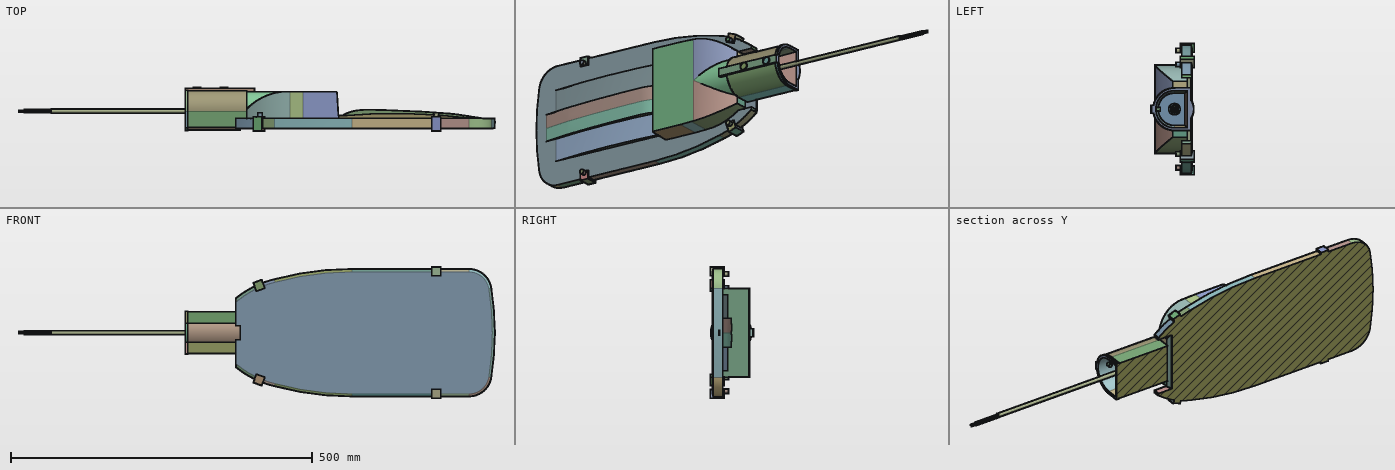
import cadquery as cq
import math


FRAME_X0 = 84.0
FRAME_X1 = 514.0
FRAME_FRONT_Y = -29.0
FRAME_BACK_Y = -12.0
FRAME_HALF = 106.0
FRAME_ROOT_HALF = 57.0
SHOULDER_RADIUS = 158
FLANK_RADIUS = 490.5
FLANK_X0 = 148.0
FLANK_X1 = 277
NOSE_RADIUS = 474.5
NOSE_CORNER = 38.0
RIM_INSET = 5.0
RIM_DEPTH = 1.2
ROOT_POCKET_HALF = 52.0
ROOT_POCKET_DEPTH = 27.0
ROOT_FLOOR = 2.0
NUB_REACH = 1.0
NUB_Y = -18.0
NUB_HEIGHT = 1.5
NUB_WIDTH = 8.0

SOCKET_RADIUS = 35.0
SOCKET_FRONT_Y = -27.0
BULGE_RADIUS = 28.5
BULGE_FRONT_Y = -32.0
BULGE_LENGTH = 92.0
COLLAR_LENGTH = 5.0
COLLAR_LIP = 1.0
BORE_WALL = 4.0
BORE_FRONT_WALL = 5.5
BORE_DEPTH = 91.0
BORE_TAPER = 2.5
RIDGE_BACK_Y = 38.0
RIDGE_WIDTH = 13.5
RIDGE_LENGTH = 115.5
SCREW_BACK_Y = 39.5
SCREW_HEAD_RADIUS = 6.0
SCREW_SHANK_RADIUS = 3.0
SCREW_TIP_Y = 24
SCREW_XS = (20.0, 65.0)
GLAND_RADIUS = 9.5
GLAND_BORE_RADIUS = 6.0
GLAND_LENGTH = 6.0

BOX_X0 = 102.0
BOX_X1 = 255.5
BOX_BACK_X1 = 252.0
BOX_FRONT_Y = -21.0
BOX_BACK_Y = 32.5
BOX_EDGE_CHAMFER = 1.5
BOX_ROOT_HALF = 47.0
BOX_BEND_X = 174
BOX_BEND_HALF = 73.0
BOX_BEND_RADIUS = 111
BOX_SIDE_X = 195.0
BOX_HALF = 73.5
DOME_X = 170.0
DOME_FRONT_Y = 3.0
NECK_RADIUS = 32.5

HUMP_X0 = 249.0
HUMP_FRONT_Y = -20.0
SPINE_HALF = 24
SPINE_TOE_X = 261
SPINE_TOE_Y = -7.0
SPINE_CREST = [(278.5, 0), (312.5, 2.0), (380, 0), (439.0, -4.0)]
SPINE_X1 = 494.0
SHOULDER_HALF = 63
SHOULDER_TOE_Y = -9.0
SHOULDER_PEAK = (340, -4.0)
SHOULDER_X1 = 474.5

CLIP_WIDTH = 15.0
CLIP_LENGTH = 15.0
CLIP_FRONT_Y = -33.0
CLIP_BACK_Y = -9.5
CLIP_SCREW_RADIUS = 4.0
CLIP_SCREW_BACK_Y = -2.0
CLIP_SCREW_INSET = 12.0
SIDE_CLIP_X = 417.0
SIDE_CLIP_EDGE = 109.0
SHOULDER_CLIP_X = 120.0
SHOULDER_CLIP_EDGE = 85.5
SHOULDER_CLIP_TILT = 20

SHEATH_RADIUS = 3.55
SHEATH_X0 = -222.0
SHEATH_X1 = 99.0
CORE_COUNT = 3
CORE_RADIUS = 1.5
BUNDLE_Y = -0.55
CORE_X0 = -266.5
WIRE_RADIUS = 0.55
WIRE_X0 = -276.0


def extrude_y(outline, y0, y1):
    """Extrude an (x, z) outline drawn on the XZ plane from y0 up to y1."""
    return outline.extrude(y1 - y0).translate((0, y1, 0))


def box(x0, x1, y0, y1, z0, z1):
    return cq.Workplane("XY").box(x1 - x0, y1 - y0, z1 - z0, centered=False).translate((x0, y0, z0))


def rod_x(radius, x0, x1, y=0, z=0):
    return cq.Workplane("YZ", origin=(x0, 0, 0)).center(y, z).circle(radius).extrude(x1 - x0)


def rod_y(radius, y0, y1, x, z):
    return cq.Workplane("XZ", origin=(x, y1, z)).circle(radius).extrude(y1 - y0)


def frame_outline():
    """Symmetric outline in (x, z), with a root tab that is trimmed off at FRAME_X0."""
    flank_angle = math.asin((FLANK_X1 - FLANK_X0) / FLANK_RADIUS)
    flank_z0 = FRAME_HALF - FLANK_RADIUS * (1 - math.cos(flank_angle))
    tab_x = FRAME_X0 - 2 * RIM_INSET

    nose_center_x = FRAME_X1 - NOSE_RADIUS
    corner_z = FRAME_HALF - NOSE_CORNER
    corner_distance = NOSE_RADIUS - NOSE_CORNER
    corner_angle = math.asin(corner_z / corner_distance)
    corner_x = nose_center_x + corner_distance * math.cos(corner_angle)
    nose_x = nose_center_x + NOSE_RADIUS * math.cos(corner_angle)
    nose_z = NOSE_RADIUS * math.sin(corner_angle)
    return (
        cq.Workplane("XZ")
        .moveTo(tab_x, -FRAME_ROOT_HALF)
        .lineTo(tab_x, FRAME_ROOT_HALF)
        .lineTo(FRAME_X0, FRAME_ROOT_HALF)
        .radiusArc((FLANK_X0, flank_z0), SHOULDER_RADIUS)
        .radiusArc((FLANK_X1, FRAME_HALF), FLANK_RADIUS)
        .lineTo(corner_x, FRAME_HALF)
        .radiusArc((nose_x, nose_z), NOSE_CORNER)
        .threePointArc((FRAME_X1, 0), (nose_x, -nose_z))
        .radiusArc((corner_x, -FRAME_HALF), NOSE_CORNER)
        .lineTo(FLANK_X1, -FRAME_HALF)
        .radiusArc((FLANK_X0, -flank_z0), FLANK_RADIUS)
        .radiusArc((FRAME_X0, -FRAME_ROOT_HALF), SHOULDER_RADIUS)
        .lineTo(tab_x, -FRAME_ROOT_HALF)
        .close()
    )


def frame():
    """Lens frame: curved outline, bevelled front rim and an open pocket at the socket end."""
    rim_y = FRAME_FRONT_Y + RIM_DEPTH
    rim_taper = math.degrees(math.atan2(RIM_INSET, RIM_DEPTH))
    body = extrude_y(frame_outline(), rim_y, FRAME_BACK_Y)
    rim = frame_outline().extrude(RIM_DEPTH, taper=rim_taper).translate((0, rim_y, 0))
    root_tab = box(
        FRAME_X0 - 3 * RIM_INSET, FRAME_X0,
        FRAME_FRONT_Y, FRAME_BACK_Y,
        -FRAME_HALF, FRAME_HALF,
    )
    body = body.union(rim).cut(root_tab)
    root_pocket = box(
        FRAME_X0, FRAME_X0 + ROOT_POCKET_DEPTH,
        FRAME_FRONT_Y + ROOT_FLOOR, FRAME_BACK_Y,
        -ROOT_POCKET_HALF, ROOT_POCKET_HALF,
    )
    nub = box(
        FRAME_X1 - 8, FRAME_X1 + NUB_REACH,
        NUB_Y - NUB_HEIGHT / 2, NUB_Y + NUB_HEIGHT / 2,
        -NUB_WIDTH / 2, NUB_WIDTH / 2,
    )
    return body.cut(root_pocket).union(nub)


def d_section(radius, front_y, x0):
    """D-shaped section on a YZ plane: half circle behind the axis, flat in front."""
    return (
        cq.Workplane("YZ", origin=(x0, 0, 0))
        .moveTo(front_y, -radius)
        .lineTo(0, -radius)
        .threePointArc((radius, 0), (0, radius))
        .lineTo(front_y, radius)
        .close()
    )


def bulge(radius, length):
    """Round rib along the front of the socket."""
    return rod_x(radius, 0, length, BULGE_FRONT_Y + BULGE_RADIUS)


def socket():
    body = d_section(SOCKET_RADIUS, SOCKET_FRONT_Y, 0).extrude(BOX_X0)
    body = body.union(bulge(BULGE_RADIUS, BULGE_LENGTH))
    collar = d_section(SOCKET_RADIUS + COLLAR_LIP, SOCKET_FRONT_Y - COLLAR_LIP, 0).extrude(COLLAR_LENGTH)
    body = body.union(collar).union(bulge(BULGE_RADIUS + COLLAR_LIP, COLLAR_LENGTH))
    ridge = box(0, RIDGE_LENGTH, 0, RIDGE_BACK_Y, -RIDGE_WIDTH / 2, RIDGE_WIDTH / 2)
    return body.union(ridge)


def bore():
    return d_section(SOCKET_RADIUS - BORE_WALL, SOCKET_FRONT_Y + BORE_FRONT_WALL, 0).extrude(
        BORE_DEPTH, taper=BORE_TAPER
    )


def socket_screws():
    screws = cq.Workplane("XY")
    for x in SCREW_XS:
        screws = screws.union(rod_y(SCREW_HEAD_RADIUS, SOCKET_RADIUS - BORE_WALL, SCREW_BACK_Y, x, 0))
        screws = screws.union(rod_y(SCREW_SHANK_RADIUS, SCREW_TIP_Y, SCREW_BACK_Y, x, 0))
    return screws


def gland():
    ring = rod_x(GLAND_RADIUS, BORE_DEPTH - GLAND_LENGTH, BORE_DEPTH)
    return ring.faces("<X").chamfer(GLAND_RADIUS - GLAND_BORE_RADIUS)


def driver_box():
    """Box with a rounded plan, domed towards the socket, and the neck blending the socket into it."""
    plan = (
        cq.Workplane("XZ")
        .moveTo(BOX_X0, -BOX_ROOT_HALF)
        .lineTo(BOX_X0, BOX_ROOT_HALF)
        .radiusArc((BOX_BEND_X, BOX_BEND_HALF), BOX_BEND_RADIUS)
        .lineTo(BOX_SIDE_X, BOX_HALF)
        .lineTo(BOX_X1, BOX_HALF)
        .lineTo(BOX_X1, -BOX_HALF)
        .lineTo(BOX_SIDE_X, -BOX_HALF)
        .lineTo(BOX_BEND_X, -BOX_BEND_HALF)
        .radiusArc((BOX_X0, -BOX_ROOT_HALF), BOX_BEND_RADIUS)
        .close()
    )
    body = extrude_y(plan, BOX_FRONT_Y, BOX_BACK_Y)
    run = DOME_X - BOX_X0
    drop = BOX_BACK_Y - DOME_FRONT_Y
    dome_radius = (run**2 + drop**2) / (2 * drop)
    profile = (
        cq.Workplane("XY")
        .moveTo(BOX_X0, BOX_FRONT_Y)
        .lineTo(BOX_X0, DOME_FRONT_Y)
        .radiusArc((DOME_X, BOX_BACK_Y), dome_radius)
        .lineTo(BOX_BACK_X1, BOX_BACK_Y)
        .lineTo(BOX_X1, BOX_FRONT_Y)
        .close()
        .extrude(BOX_HALF, both=True)
    )
    body = body.intersect(profile).faces(">Y").edges(">X").chamfer(BOX_EDGE_CHAMFER)
    neck = d_section(NECK_RADIUS, BOX_FRONT_Y, BOX_X0).extrude(DOME_X - BOX_X0)
    return body.union(neck)


def hump():
    """A long domed spine over a wider and lower shoulder."""
    spine = (
        cq.Workplane("XY")
        .moveTo(HUMP_X0, HUMP_FRONT_Y)
        .lineTo(HUMP_X0, SPINE_TOE_Y)
        .lineTo(SPINE_TOE_X, SPINE_TOE_Y)
        .spline([*SPINE_CREST, (SPINE_X1, FRAME_BACK_Y)], includeCurrent=True)
        .lineTo(SPINE_X1, HUMP_FRONT_Y)
        .close()
        .extrude(SPINE_HALF, both=True)
    )
    shoulder = (
        cq.Workplane("XY")
        .moveTo(HUMP_X0, HUMP_FRONT_Y)
        .lineTo(HUMP_X0, SHOULDER_TOE_Y)
        .threePointArc(SHOULDER_PEAK, (SHOULDER_X1, FRAME_BACK_Y))
        .lineTo(SHOULDER_X1, HUMP_FRONT_Y)
        .close()
        .extrude(SHOULDER_HALF, both=True)
    )
    return spine.union(shoulder)


def clip(x, edge_z, tilt, side):
    """Clip block on the rim, its outer edge centred at (x, edge_z), then mirrored for side = -1."""
    block = box(-CLIP_WIDTH / 2, CLIP_WIDTH / 2, CLIP_FRONT_Y, CLIP_BACK_Y, -CLIP_LENGTH, 0)
    screw = rod_y(CLIP_SCREW_RADIUS, CLIP_BACK_Y, CLIP_SCREW_BACK_Y, 0, -CLIP_SCREW_INSET)
    body = block.union(screw).rotate((0, 0, 0), (0, 1, 0), -tilt).translate((x, 0, edge_z))
    return body if side > 0 else body.mirror("XY")


def make_luminaire():
    """Frame, socket, driver box and clips as one solid, with a hole for the cable sheath."""
    body = frame().union(socket()).union(driver_box()).union(hump())
    body = body.cut(bore()).union(socket_screws()).union(gland())
    for side in (1, -1):
        body = body.union(clip(SIDE_CLIP_X, SIDE_CLIP_EDGE, 0, side))
        body = body.union(clip(SHOULDER_CLIP_X, SHOULDER_CLIP_EDGE, SHOULDER_CLIP_TILT, side))
    return body.cut(rod_x(SHEATH_RADIUS, 0, SHEATH_X1))


def make_core(angle):
    """Insulated core butting against the sheath end, with a bare wire tip."""
    pitch_radius = CORE_RADIUS / math.sin(math.pi / CORE_COUNT)
    y = BUNDLE_Y + pitch_radius * math.cos(angle)
    z = pitch_radius * math.sin(angle)
    return rod_x(CORE_RADIUS, CORE_X0, SHEATH_X0, y, z).union(rod_x(WIRE_RADIUS, WIRE_X0, SHEATH_X0, y, z))


luminaire = make_luminaire()
sheath = rod_x(SHEATH_RADIUS, SHEATH_X0, SHEATH_X1)
cores = [make_core(2 * math.pi * i / CORE_COUNT) for i in range(CORE_COUNT)]
result = cq.Compound.makeCompound([luminaire.val(), sheath.val(), *[core.val() for core in cores]])